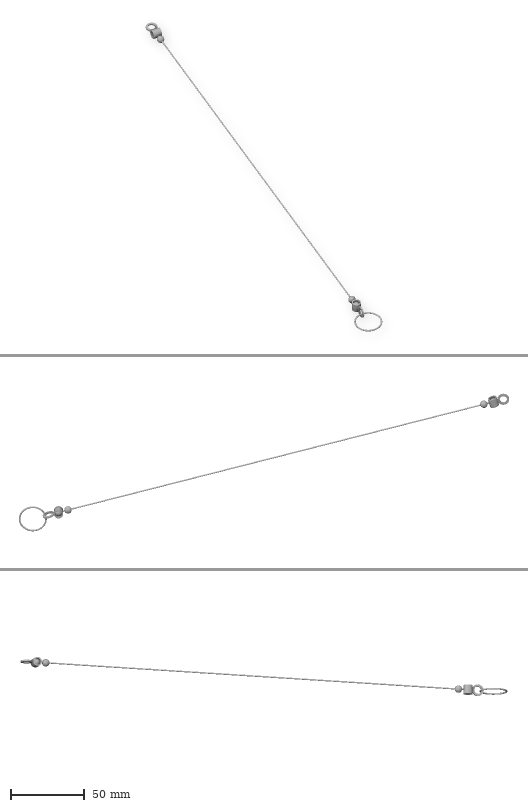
import cadquery as cq

overall_length = 344.49
cable_diameter = 0.91

eyelet_outer_diameter = 8.0
eyelet_hole_diameter = 5.0
eyelet_thickness = 1.0
tube_diameter = 6.2
tube_bore_diameter = 4.6
tube_length = 6.0
ball_diameter = 5.0
ball_offset = 17.7
eyelet_tube_overlap = 0.1

ring_outer_diameter = 19.0
ring_wire_diameter = 1.1
right_tip_to_ring_end = 16.6

eyelet_offset = eyelet_outer_diameter / 2
tube_offset = eyelet_outer_diameter + tube_diameter / 2 - eyelet_tube_overlap
right_tip = overall_length - right_tip_to_ring_end
ring_center = overall_length - ring_outer_diameter / 2


def eyelet():
    """Flat washer lying in the XY plane."""
    return (
        cq.Workplane("XY")
        .center(eyelet_offset, 0)
        .circle(eyelet_outer_diameter / 2)
        .circle(eyelet_hole_diameter / 2)
        .extrude(eyelet_thickness / 2, both=True)
    )


def tube():
    """Short open tube with its axis along Y."""
    return (
        cq.Workplane("XZ")
        .center(tube_offset, 0)
        .circle(tube_diameter / 2)
        .circle(tube_bore_diameter / 2)
        .extrude(tube_length / 2, both=True)
    )


def ball(x):
    """Ball on the cable; its poles lie on the Y direction."""
    return cq.Workplane("XY").center(x, 0).sphere(ball_diameter / 2, direct=(0, 1, 0))


def left_fitting():
    """Eyelet and tube of the left fitting, with the tip at the origin and pointing along -X."""
    return eyelet().union(tube())


def right_fitting():
    """The same fitting facing the other way, turned a quarter turn about the cable."""
    facing_right = left_fitting().rotate((0, 0, 0), (0, 0, 1), 180)
    quarter_turned = facing_right.rotate((0, 0, 0), (1, 0, 0), 90)
    return quarter_turned.translate((right_tip, 0, 0))


def cable():
    """Cable running between the centres of the two tubes."""
    start = tube_offset
    length = right_tip - 2 * tube_offset
    return cq.Workplane("YZ").workplane(offset=start).circle(cable_diameter / 2).extrude(length)


def ring():
    """Round-wire ring lying in the XY plane."""
    wire_radius = ring_wire_diameter / 2
    wire_center_radius = ring_outer_diameter / 2 - wire_radius
    torus = cq.Solid.makeTorus(wire_center_radius, wire_radius, cq.Vector(ring_center, 0, 0))
    return cq.Workplane("XY").add(torus)


result = cable().union(left_fitting()).union(right_fitting()).union(ring())

for offset in (tube_offset, ball_offset):
    result = result.union(ball(offset)).union(ball(right_tip - offset))